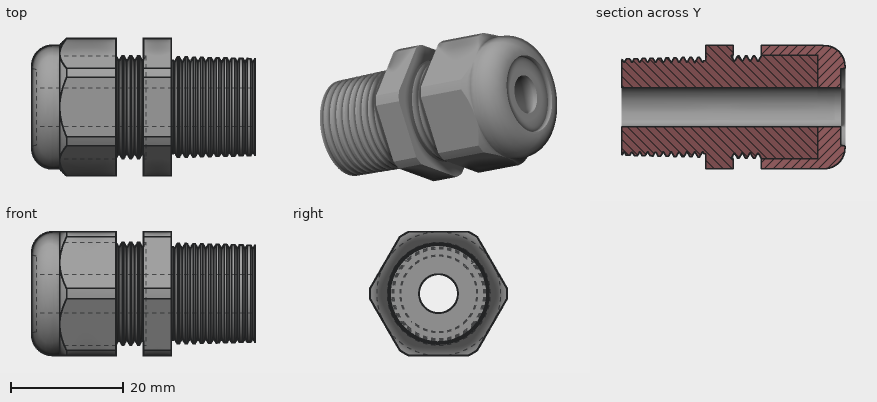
import cadquery as cq
import math

length = 39.88
cap_length = 15.05
collar_start = 19.9
collar_end = 24.9

across_flats = 22.1
across_corners = 24.52

dome_radius = across_flats / 2
corner_radius = across_corners / 2
dome_fillet = 3.8
dome_end = 5.0
recess_depth = 0.8
recess_mouth_radius = 6.94
recess_floor_radius = 6.75
bore_radius = 3.45
front_wall = 4.2
front_wall_end = recess_depth + front_wall

pitch = 1.4
flank_angle = 30.0
cap_thread_radius = 9.2
cap_thread_root = 8.2
first_cap_groove = 15.57
cap_groove_count = 4
neck_radius = 8.36
neck_end = 25.4
entry_thread_radius = 9.0
entry_thread_end_radius = 8.64
entry_thread_root = 8.0
first_entry_groove = 25.45
entry_groove_count = 11


def revolve_about_x(profile):
    return profile.close().revolve(360, (0, 0, 0), (1, 0, 0))


def cylinder(start, end, radius):
    return cq.Workplane("YZ", origin=(start, 0, 0)).circle(radius).extrude(end - start)


def hexagon(start, end):
    """Hexagonal prism with flats at +Z and -Z and corners rounded to across_corners."""
    corner_to_corner = across_flats / math.cos(math.radians(30))
    prism = cq.Workplane("YZ", origin=(start, 0, 0)).polygon(6, corner_to_corner).extrude(end - start)
    return prism.intersect(cylinder(start, end, corner_radius))


def groove(center, root_radius, crest_radius):
    """Ring that cuts one V groove from crest_radius down to root_radius."""
    half_width = (crest_radius - root_radius) * math.tan(math.radians(flank_angle))
    return revolve_about_x(
        cq.Workplane("XY")
        .moveTo(center, root_radius)
        .lineTo(center + half_width, crest_radius)
        .lineTo(center - half_width, crest_radius)
    )


def cut_grooves(blank, first, count, root_radius, crest_radius):
    for index in range(count):
        blank = blank.cut(groove(first + index * pitch, root_radius, crest_radius))
    return blank


def make_cap():
    chamfer_end = dome_end + corner_radius - dome_radius
    arc_offset = dome_fillet * math.sin(math.radians(45))
    envelope = revolve_about_x(
        cq.Workplane("XY")
        .lineTo(0, dome_radius - dome_fillet)
        .threePointArc(
            (dome_fillet - arc_offset, dome_radius - dome_fillet + arc_offset),
            (dome_fillet, dome_radius),
        )
        .lineTo(dome_end, dome_radius)
        .lineTo(chamfer_end, corner_radius)
        .lineTo(cap_length, corner_radius)
        .lineTo(cap_length, 0)
    )
    recess = revolve_about_x(
        cq.Workplane("XY")
        .lineTo(0, recess_mouth_radius)
        .lineTo(recess_depth, recess_floor_radius)
        .lineTo(recess_depth, 0)
    )
    cap = envelope.intersect(hexagon(dome_end, cap_length).union(cylinder(0, dome_end, dome_radius)))
    cap = cap.cut(recess)
    cap = cap.cut(cylinder(0, cap_length, bore_radius))
    return cap.cut(cylinder(front_wall_end, cap_length, cap_thread_radius))


def make_entry_blank():
    """Neck and taper behind the collar, the taper sloping down to the free end."""
    taper = revolve_about_x(
        cq.Workplane("XY")
        .moveTo(neck_end, 0)
        .lineTo(neck_end, entry_thread_radius)
        .lineTo(length, entry_thread_end_radius)
        .lineTo(length, 0)
    )
    return cylinder(collar_end, neck_end, neck_radius).union(taper)


def make_body():
    sleeve = cylinder(front_wall_end, collar_start, cap_thread_radius)
    body = sleeve.union(hexagon(collar_start, collar_end)).union(make_entry_blank())
    body = cut_grooves(body, first_cap_groove, cap_groove_count, cap_thread_root, cap_thread_radius)
    body = cut_grooves(body, first_entry_groove, entry_groove_count, entry_thread_root, entry_thread_radius)
    return body.cut(cylinder(front_wall_end, length, bore_radius))


cap = make_cap()
body = make_body()
result = cq.Compound.makeCompound([cap.val(), body.val()])